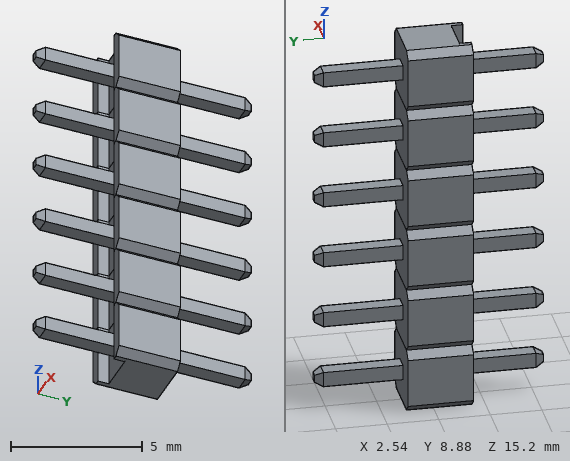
import cadquery as cq

PITCH = 2.54
POSITIONS = 6
CORNER_CHAMFER = 0.3
WALL = 0.5
CHANNEL_DEPTH = 0.45
PIN_SIZE = 0.6
TIP_SIZE = 0.3
TIP_LENGTH = 0.32
PIN_FRONT = 2.94
PIN_BACK = 3.4

HOUSING_FRONT = -PITCH / 2
HOUSING_BACK = PITCH / 2
CHANNEL_WIDTH = PITCH - 2 * WALL
PIN_FRONT_END = HOUSING_FRONT - PIN_FRONT
PIN_BACK_END = HOUSING_BACK + PIN_BACK
SHANK_LENGTH = PIN_BACK_END - PIN_FRONT_END - 2 * TIP_LENGTH


def make_block():
    """Housing block: chamfered square along Y with a channel across its front face."""
    block = cq.Workplane("XY").box(PITCH, PITCH, PITCH)
    block = block.edges("|Y").chamfer(CORNER_CHAMFER)
    channel = (
        cq.Workplane("XY")
        .box(CHANNEL_WIDTH, CHANNEL_DEPTH, PITCH)
        .translate((0, HOUSING_FRONT + CHANNEL_DEPTH / 2, 0))
    )
    return block.cut(channel)


def make_pin():
    """Square pin along Y, tapered to a smaller square at both ends."""
    shank = (
        cq.Workplane("XZ", origin=(0, PIN_BACK_END - TIP_LENGTH, 0))
        .rect(PIN_SIZE, PIN_SIZE)
        .extrude(SHANK_LENGTH)
    )
    pin = shank
    for face in ("<Y", ">Y"):
        tip = (
            shank.faces(face)
            .workplane(centerOption="CenterOfMass")
            .rect(PIN_SIZE, PIN_SIZE)
            .workplane(offset=TIP_LENGTH)
            .rect(TIP_SIZE, TIP_SIZE)
            .loft(combine=False)
        )
        pin = pin.union(tip)
    return pin


def make_position(index):
    """One header position, block and pin as a single solid, at its place in the row."""
    height = (index - (POSITIONS - 1) / 2) * PITCH
    return make_block().union(make_pin()).translate((0, 0, height))


header_positions = [make_position(index) for index in range(POSITIONS)]

result = cq.Compound.makeCompound([position.val() for position in header_positions])